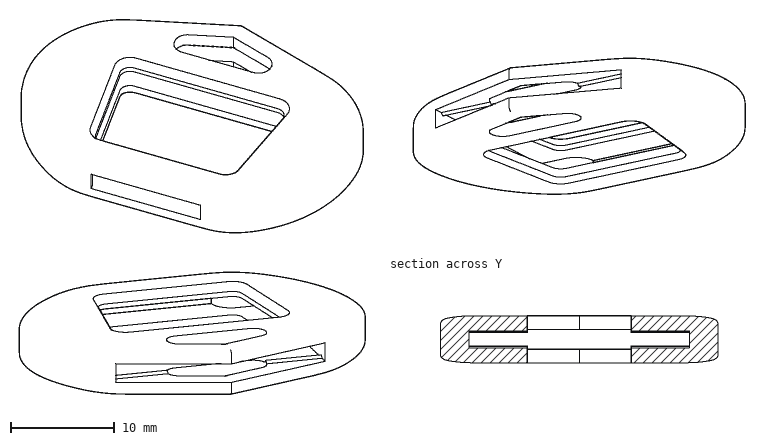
import cadquery as cq
import math

length = 34.0
thickness = 4.6
half_length = length / 2
half_thickness = thickness / 2

tip_y = 12.05
base_y = -11.97
upper_side_radius = 8.95
lower_side_radius = 12.45
base_blend = 8.0

cone_start_radius = 13.65
cone_edge_drop = 0.78
dome_blend = 10.88
rim_fillet = 0.5

window_top_y = 3.05
window_base_y = -8.0
window_top_half = 8.67
window_base_half = 7.15
window_corner = 1.02
window_chamfer_width = 0.5
upper_chamfer_depth = 0.85
lower_chamfer_depth = 0.5

loop_tip_y = 9.93
loop_base_y = 6.05
loop_half = 5.0
loop_corner = 1.25

cavity_height = 1.87
cavity_half = 10.6
slot_half = 5.7
slot_flare = 2.0

ridge_height = 0.27
ridge_y = 7.3

overshoot = 1.7

upper_x = half_length - upper_side_radius
tip_distance = math.hypot(upper_x, tip_y)
shoulder_angle = math.atan2(tip_y, -upper_x) - math.acos(upper_side_radius / tip_distance)
shoulder_slope = 1 / math.tan(shoulder_angle)


def arc_point(center, radius, angle):
    """Point at an angle (radians from +X) on a circle."""
    return (center[0] + radius * math.cos(angle), center[1] + radius * math.sin(angle))


def plan_body():
    """Plate with the rounded, pointed outline."""
    upper_center = (upper_x, 0)
    lower_center = (half_length - lower_side_radius, 0)

    blend_y = base_y + base_blend
    blend_offset = math.sqrt((lower_side_radius - base_blend) ** 2 - blend_y ** 2)
    blend_center = (lower_center[0] + blend_offset, blend_y)
    blend_angle = math.atan2(blend_y, blend_offset)
    base_angle = -math.pi / 2

    half = (
        cq.Workplane("XY").workplane(offset=-half_thickness)
        .moveTo(0, tip_y)
        .lineTo(*arc_point(upper_center, upper_side_radius, shoulder_angle))
        .threePointArc(arc_point(upper_center, upper_side_radius, shoulder_angle / 2), (half_length, 0))
        .threePointArc(
            arc_point(lower_center, lower_side_radius, blend_angle / 2),
            arc_point(lower_center, lower_side_radius, blend_angle),
        )
        .threePointArc(
            arc_point(blend_center, base_blend, (blend_angle + base_angle) / 2),
            (blend_center[0], base_y),
        )
        .lineTo(0, base_y)
        .close()
        .extrude(thickness)
    )
    return half.union(half.mirror("YZ"))


def dome_body():
    """Disc about Z whose two faces fall away as blended cones."""
    cone_slope = cone_edge_drop / (half_length - cone_start_radius)
    outer = half_length + overshoot
    outer_z = half_thickness - cone_slope * (outer - cone_start_radius)
    profile = [
        (0, -half_thickness),
        (cone_start_radius, -half_thickness),
        (outer, -outer_z),
        (outer, outer_z),
        (cone_start_radius, half_thickness),
        (0, half_thickness),
    ]
    disc = cq.Workplane("XZ").polyline(profile).close().revolve(360, (0, 0, 0), (0, 1, 0))
    return disc.edges(cq.selectors.RadiusNthSelector(0)).fillet(dome_blend)


def outer_body():
    """Domed plate with its whole rim rounded."""
    blank = plan_body().intersect(dome_body())
    return blank.edges("not (|Z or %CIRCLE)").fillet(rim_fillet)


def mirrored_prism(right_side, height):
    """Prism centred on Z = 0 over right-hand points, listed top down, and their reflection."""
    left_side = [(-x, y) for x, y in reversed(right_side) if x > 0]
    return cq.Workplane("XY").polyline(right_side + left_side).close().extrude(height / 2, both=True)


def window_chamfer(window, depth):
    """Extension of the window's +Z end, flaring outward over the given depth at the upper face."""
    flare_angle = math.degrees(math.atan2(window_chamfer_width, depth))
    inner_rim = window.faces(">Z").wires().val().translate(cq.Vector(0, 0, -depth))
    return cq.Workplane("XY").add(inner_rim).toPending().extrude(depth, taper=-flare_angle)


def window_cutter():
    """Rounded trapezoid with a steep chamfer on the upper face and a 45 degree one below."""
    corners = [(window_top_half, window_top_y), (window_base_half, window_base_y)]
    window = mirrored_prism(corners, thickness).edges("|Z").fillet(window_corner)
    upper_chamfer = window_chamfer(window, upper_chamfer_depth)
    lower_chamfer = window_chamfer(window, lower_chamfer_depth).mirror("XY")
    return window.union(upper_chamfer).union(lower_chamfer)


def loop_cutter():
    """House-shaped hole with a sharp tip and rounded ends."""
    eave_y = loop_tip_y - shoulder_slope * loop_half
    corners = [(0, loop_tip_y), (loop_half, eave_y), (loop_half, loop_base_y)]
    return mirrored_prism(corners, thickness).edges("|Z").edges("<X or >X").fillet(loop_corner)


def cavity_cutter():
    """Cavity open at the pointed edge, with a slot through the base that flares into it."""
    pocket_base_y = base_y + slot_flare
    pocket_depth = tip_y + overshoot - pocket_base_y
    pocket = (
        cq.Workplane("XY")
        .center(0, pocket_base_y + pocket_depth / 2)
        .box(2 * cavity_half, pocket_depth, cavity_height)
    )
    slot_length = slot_flare + overshoot
    slot = (
        cq.Workplane("XY")
        .center(0, pocket_base_y - slot_length / 2)
        .box(2 * slot_half, slot_length, cavity_height)
    )
    slot_mouth = cq.selectors.BoxSelector(
        (-slot_half - overshoot, base_y, -cavity_height),
        (slot_half + overshoot, base_y + 2 * slot_flare, cavity_height),
    )
    return pocket.union(slot).edges("|Z").edges(slot_mouth).fillet(slot_flare)


def ridge(side):
    """Triangular ridge on the upper (side = 1) or lower (side = -1) cavity face."""
    root_z = side * cavity_height / 2
    section = [
        (ridge_y - ridge_height, root_z),
        (ridge_y, root_z - side * ridge_height),
        (ridge_y + ridge_height, root_z),
    ]
    return cq.Workplane("YZ").polyline(section).close().extrude(cavity_half, both=True)


cavity = cavity_cutter()
for side in (1, -1):
    cavity = cavity.cut(ridge(side))

result = outer_body().cut(cavity).cut(window_cutter()).cut(loop_cutter())